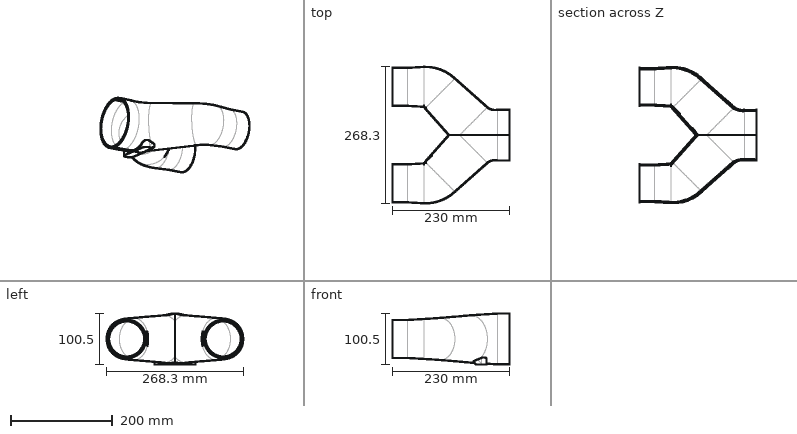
import cadquery as cq
import math

overall_length = 230.0
overall_height = 100.5
inlet_outer_radius = 75.0 / 2
inlet_inner_radius = 69.0 / 2
outlet_outer_radius = 100.0 / 2
wall = inlet_outer_radius - inlet_inner_radius
outlet_inner_radius = outlet_outer_radius - wall

inlet_collar_length = 30.3
outlet_collar_length = 24.1
inlet_offset = 94.7

bend_angle = math.radians(45)
lead_in_length = 32.2
inlet_bend_radius = 44.0

foot_bottom_z = outlet_outer_radius - overall_height
foot_height = 16.0
foot_half_width = 40.5
foot_front_x = 164.7
foot_back_x = 185.0
foot_back_corner_radius = 9.7
foot_slope_corner_radius = 9.0

arm_run = overall_length - inlet_collar_length - outlet_collar_length
bend_run = arm_run - lead_in_length
bend_sine = math.sin(bend_angle)
bend_cosine = math.cos(bend_angle)
bend_radius_sum = (bend_run * bend_sine - inlet_offset * bend_cosine) / (1 - bend_cosine)
outlet_bend_radius = bend_radius_sum - inlet_bend_radius

arm_start_x = inlet_collar_length
arm_end_x = arm_start_x + arm_run


def bend_point(radius, angle):
    """Travel along and across the start direction after bending by angle."""
    return radius * math.sin(angle), radius * (1 - math.cos(angle))


def arm_path():
    """S-shaped centre line from the inlet collar at -Y to the outlet collar on Y = 0."""
    bend_start_x = arm_start_x + lead_in_length

    def inlet_bend(angle):
        along, across = bend_point(inlet_bend_radius, angle)
        return bend_start_x + along, across - inlet_offset

    def outlet_bend(angle):
        along, across = bend_point(outlet_bend_radius, angle)
        return arm_end_x - along, -across

    return (
        cq.Workplane("XY")
        .moveTo(arm_start_x, -inlet_offset)
        .lineTo(bend_start_x, -inlet_offset)
        .threePointArc(inlet_bend(bend_angle / 2), inlet_bend(bend_angle))
        .lineTo(*outlet_bend(bend_angle))
        .threePointArc(outlet_bend(bend_angle / 2), (arm_end_x, 0))
    )


def passage(inlet_radius, outlet_radius):
    """Solid filling one inlet collar, its tapered arm and the outlet collar."""
    inlet = cq.Workplane("YZ").center(-inlet_offset, 0).circle(inlet_radius).extrude(inlet_collar_length)
    arm = (
        cq.Workplane("YZ", origin=(arm_start_x, 0, 0))
        .center(-inlet_offset, 0)
        .circle(inlet_radius)
        .workplane(offset=arm_run)
        .center(inlet_offset, 0)
        .circle(outlet_radius)
        .sweep(arm_path(), multisection=True)
    )
    outlet = (
        cq.Workplane("YZ", origin=(arm_end_x, 0, 0)).circle(outlet_radius).extrude(outlet_collar_length)
    )
    return inlet.union(arm).union(outlet)


def foot():
    """Foot with a 45 degree slope towards the inlets and rounded ends."""
    foot_top_z = foot_bottom_z + foot_height
    slope_top_x = foot_front_x - foot_height
    foot_length = foot_back_x - slope_top_x
    upright = (
        cq.Workplane("XY", origin=(0, 0, foot_bottom_z))
        .moveTo((slope_top_x + foot_back_x) / 2, 0)
        .rect(foot_length, 2 * foot_half_width)
        .extrude(foot_height)
        .edges("|Z and >X")
        .fillet(foot_back_corner_radius)
    )
    sloped = (
        cq.Workplane("XZ", origin=(0, foot_half_width, 0))
        .moveTo(foot_front_x, foot_bottom_z)
        .lineTo(slope_top_x, foot_top_z)
        .lineTo(slope_top_x + foot_length, foot_top_z)
        .lineTo(foot_front_x + foot_length, foot_bottom_z)
        .close()
        .extrude(2 * foot_half_width)
        .edges(cq.selectors.ParallelDirSelector(cq.Vector(-1, 0, 1)))
        .edges("<X")
        .fillet(foot_slope_corner_radius)
    )
    return upright.intersect(sloped)


def near_half_space():
    """Block covering everything on the -Y side of the split plane."""
    size = 3 * overall_length
    return cq.Workplane("XY").box(size, size, size).translate((0, -size / 2, 0))


def manifold_half():
    """The -Y half: one inlet arm, half of the outlet and half of the foot."""
    body = passage(inlet_outer_radius, outlet_outer_radius).union(foot())
    return body.cut(passage(inlet_inner_radius, outlet_inner_radius)).intersect(near_half_space())


near_half = manifold_half().solids()
far_half = near_half.mirror("XZ").solids()

result = cq.Compound.makeCompound([near_half.val(), far_half.val()])